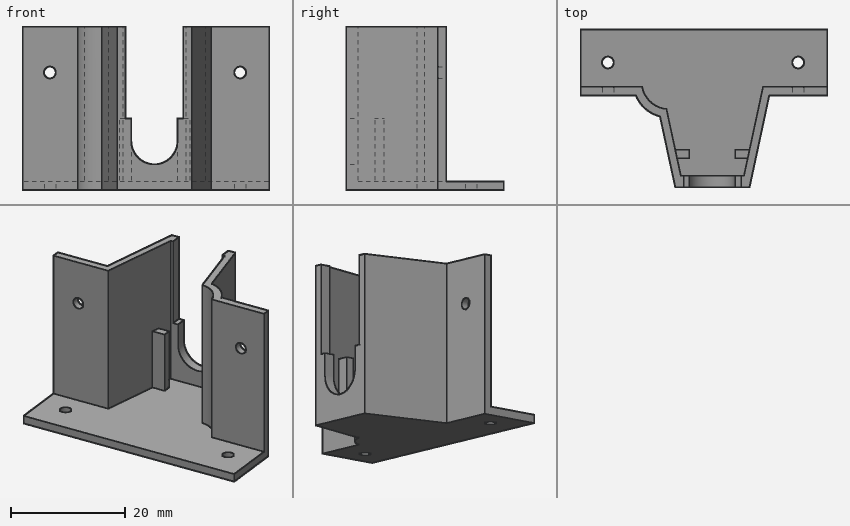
import cadquery as cq

width = 43.0
depth = 27.5
height = 28.5
thickness = 1.5

flange_front = 16.0
flange_back = flange_front + thickness

hood_center = 22.95
hood_front_width = 13.0
side_slope = 0.215
side_wall_run = 1.4
front_wall = 2.0

bulge_x = 15.4
bulge_y = 18.4
bulge_inner_radius = 4.77
bulge_outer_radius = bulge_inner_radius + thickness

slot_width = 8.0
slot_bottom = 4.5
wide_slot_width = 10.05
step_height = 12.5

peg_front = 5.05

hole_diameter = 2.0
hole_xs = (4.75, 37.93)
wall_hole_z = 20.5
floor_hole_y = depth - 5.75


def block(x0, x1, y0, y1, z0, z1):
    return cq.Workplane("XY").box(x1 - x0, y1 - y0, z1 - z0, centered=False).translate((x0, y0, z0))


def hood_prism(y_start, wall_run, z0):
    """Tapered prism up to the back of the flange, inset sideways by wall_run."""
    half_front = hood_front_width / 2 + side_slope * y_start - wall_run
    half_back = hood_front_width / 2 + side_slope * flange_back - wall_run
    return (
        cq.Workplane("XY", origin=(hood_center, 0, z0))
        .moveTo(-half_front, y_start)
        .lineTo(half_front, y_start)
        .lineTo(half_back, flange_back)
        .lineTo(-half_back, flange_back)
        .close()
        .extrude(height - z0)
    )


def bulge(radius, z0):
    """Upright cylinder trimmed at the back of the flange."""
    cylinder = cq.Workplane("XY", origin=(bulge_x, bulge_y, z0)).circle(radius).extrude(height - z0)
    return cylinder.intersect(block(0, width, 0, flange_back, z0, height))


def shell():
    outside = block(0, width, flange_front, flange_back, 0, height)
    outside = outside.union(hood_prism(0, 0, 0)).union(bulge(bulge_outer_radius, 0))
    cavity = hood_prism(front_wall, side_wall_run, thickness)
    cavity = cavity.union(bulge(bulge_inner_radius, thickness))
    rear_floor = block(0, width, flange_back, depth, 0, thickness)
    return outside.cut(cavity).union(rear_floor)


def slot():
    half_slot = slot_width / 2
    half_wide = wide_slot_width / 2
    round_center_z = slot_bottom + half_slot
    round_end = (
        cq.Workplane("XZ", origin=(hood_center, 0, round_center_z))
        .circle(half_slot)
        .extrude(-front_wall)
    )
    narrow = block(hood_center - half_slot, hood_center + half_slot, 0, front_wall, round_center_z, height)
    wide = block(hood_center - half_wide, hood_center + half_wide, 0, front_wall, step_height, height)
    return round_end.union(narrow).union(wide)


def pegs():
    """Pegs reaching from the slot edges outward into the sloping sides."""
    peg_back = peg_front + thickness
    outer_half = hood_front_width / 2 + side_slope * peg_front
    bar = block(hood_center - outer_half, hood_center + outer_half, peg_front, peg_back, 0, step_height)
    gap = block(
        hood_center - slot_width / 2, hood_center + slot_width / 2, peg_front, peg_back, thickness, step_height
    )
    return bar.cut(gap)


def mounting_holes():
    radius = hole_diameter / 2
    wall_holes = (
        cq.Workplane("XZ", origin=(0, flange_front, wall_hole_z))
        .pushPoints([(x, 0) for x in hole_xs])
        .circle(radius)
        .extrude(-thickness)
    )
    floor_holes = (
        cq.Workplane("XY", origin=(0, floor_hole_y, 0))
        .pushPoints([(x, 0) for x in hole_xs])
        .circle(radius)
        .extrude(thickness)
    )
    return wall_holes.union(floor_holes)


result = shell().union(pegs()).cut(slot()).cut(mounting_holes())